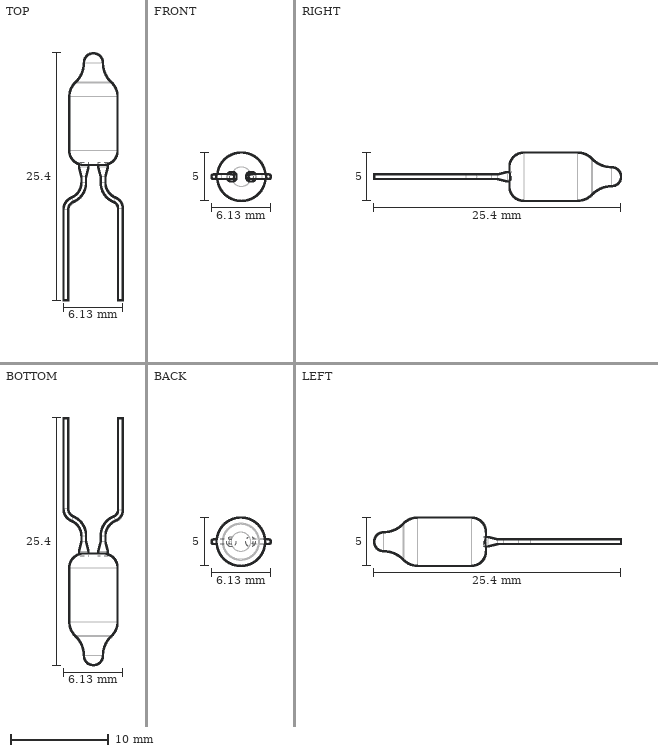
import cadquery as cq
import math

TOTAL_LENGTH = 25.45

BULB_LENGTH = 11.52
BULB_DIAMETER = 5.0
BULB_RADIUS = BULB_DIAMETER / 2
TIP_RADIUS = 1.0
BASE_FILLET = 1.5
SHOULDER_RADIUS = 2.0
NECK_RADIUS = 2.77
SHOULDER_ANGLE = 45.0
SHOULDER_Y = 7.05

LEAD_OFFSET = 1.0
WIRE_RADIUS = 0.25
COLLAR_RADIUS = 0.5
COLLAR_DEPTH = 0.25
COLLAR_LENGTH = 0.2
CONE_LENGTH = 1.0
STUB_LENGTH = 0.6

LEAD_BENDS = [
    (-1, 1.9, 1.12, 67.0),
    (1, 1.9, 0.95, 68.2),
]


def arc_point(center, radius, degrees):
    """Point on a circle, with the angle measured from +X."""
    angle = math.radians(degrees)
    return (center[0] + radius * math.cos(angle), center[1] + radius * math.sin(angle))


def make_bulb():
    """Revolve the bulb profile: base fillet, wall, shoulder, concave neck and round tip."""
    tip_center = (0, BULB_LENGTH - TIP_RADIUS)
    neck_center = (TIP_RADIUS + NECK_RADIUS, tip_center[1])
    shoulder_center = (BULB_RADIUS - SHOULDER_RADIUS, SHOULDER_Y)
    fillet_center = (BULB_RADIUS - BASE_FILLET, BASE_FILLET)
    profile = (
        cq.Workplane("XY")
        .lineTo(fillet_center[0], 0)
        .threePointArc(arc_point(fillet_center, BASE_FILLET, -45), (BULB_RADIUS, BASE_FILLET))
        .lineTo(BULB_RADIUS, SHOULDER_Y)
        .threePointArc(
            arc_point(shoulder_center, SHOULDER_RADIUS, SHOULDER_ANGLE / 2),
            arc_point(shoulder_center, SHOULDER_RADIUS, SHOULDER_ANGLE),
        )
        .lineTo(*arc_point(neck_center, NECK_RADIUS, 180 + SHOULDER_ANGLE))
        .threePointArc(
            arc_point(neck_center, NECK_RADIUS, 180 + SHOULDER_ANGLE / 2),
            (TIP_RADIUS, tip_center[1]),
        )
        .threePointArc(arc_point(tip_center, TIP_RADIUS, 45), (0, BULB_LENGTH))
        .close()
    )
    return profile.revolve(360, (0, 0), (0, 1))


def make_collar(x):
    """Collar tapering to the wire, with its upper end set into the bulb."""
    cone_end = -COLLAR_LENGTH - CONE_LENGTH
    profile = (
        cq.Workplane("XY")
        .moveTo(x, COLLAR_DEPTH)
        .lineTo(x + COLLAR_RADIUS, COLLAR_DEPTH)
        .lineTo(x + COLLAR_RADIUS, -COLLAR_LENGTH)
        .lineTo(x + WIRE_RADIUS, cone_end)
        .lineTo(x, cone_end)
        .close()
    )
    return profile.revolve(360, (x, 0), (x, 1))


def make_wire(side, outward_radius, return_radius, bend_angle):
    """Round wire: straight stub, S-bend away from the lamp axis, long straight leg."""
    x = side * LEAD_OFFSET
    wire_start = -COLLAR_LENGTH - CONE_LENGTH
    bend_start = wire_start - STUB_LENGTH
    wire_end = BULB_LENGTH - TOTAL_LENGTH

    def outward_bend_point(degrees):
        angle = math.radians(degrees)
        return (
            x + side * outward_radius * (1 - math.cos(angle)),
            bend_start - outward_radius * math.sin(angle),
        )

    bend_joint = outward_bend_point(bend_angle)
    turn = math.radians(bend_angle)
    leg_x = bend_joint[0] + side * return_radius * (1 - math.cos(turn))
    leg_start = bend_joint[1] - return_radius * math.sin(turn)

    def return_bend_point(degrees):
        angle = math.radians(degrees)
        return (
            leg_x - side * return_radius * (1 - math.cos(angle)),
            leg_start + return_radius * math.sin(angle),
        )

    path = (
        cq.Workplane("XY")
        .moveTo(x, wire_start)
        .lineTo(x, bend_start)
        .threePointArc(outward_bend_point(bend_angle / 2), bend_joint)
        .threePointArc(return_bend_point(bend_angle / 2), (leg_x, leg_start))
        .lineTo(leg_x, wire_end)
    )
    section = cq.Workplane("XZ", origin=(x, wire_start, 0)).circle(WIRE_RADIUS)
    return section.sweep(path)


def make_lead(side, outward_radius, return_radius, bend_angle):
    """One lead: collar and bent wire as a single solid."""
    wire = make_wire(side, outward_radius, return_radius, bend_angle)
    return make_collar(side * LEAD_OFFSET).union(wire)


leads = [make_lead(*bends) for bends in LEAD_BENDS]

bulb = make_bulb()
for lead in leads:
    bulb = bulb.cut(lead)

result = cq.Compound.makeCompound([bulb.solids().val(), *[lead.solids().val() for lead in leads]])